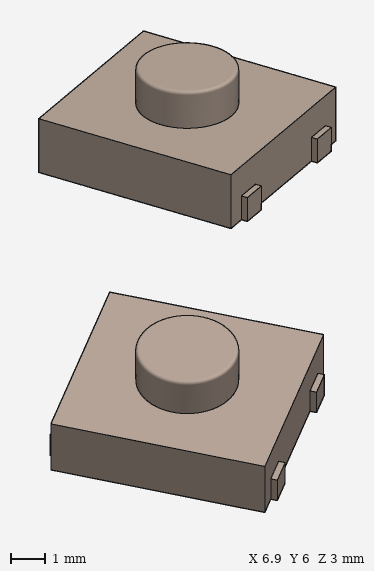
import cadquery as cq

overall_length = 6.9
body_width = 6.0
overall_height = 3.0

terminal_projection = 0.2
terminal_width = 0.8
terminal_height = 0.8
terminal_pitch = 4.0
body_length = overall_length - 2 * terminal_projection
body_height = 1.8

button_diameter = 3.0
button_height = overall_height - body_height
button_edge_radius = 0.1


def make_body():
    """Rectangular housing standing on the XY plane."""
    return cq.Workplane("XY").box(body_length, body_width, body_height, centered=(True, True, False))


def make_button():
    """Round button on top of the housing, with a rounded top edge."""
    button = cq.Workplane("XY").workplane(offset=body_height).circle(button_diameter / 2).extrude(button_height)
    return button.faces(">Z").edges().fillet(button_edge_radius)


def make_terminal_pair(y):
    """Bar through the housing whose two ends form opposite terminals."""
    bar = cq.Workplane("XY").box(
        overall_length, terminal_width, terminal_height, centered=(True, True, False)
    )
    return bar.translate((0, y, 0))


result = make_body().union(make_button())
for side in (-1, 1):
    result = result.union(make_terminal_pair(side * terminal_pitch / 2))